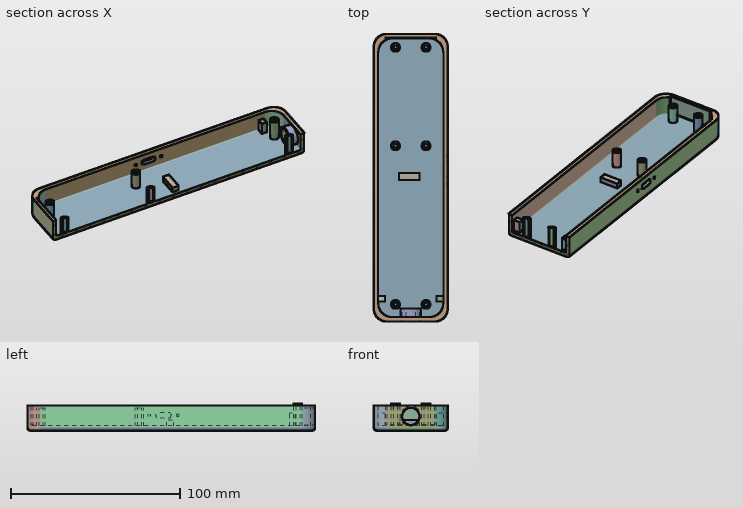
import cadquery as cq

width = 44.0
length = 170.3
rim_height = 15.0
corner_radius = 7.8
bottom_fillet = 2.0

wall = 2.7
floor = 3.0
inner_corner_radius = 8.2
floor_fillet = 0.5
cavity_width = width - 2 * wall
cavity_length = length - 2 * wall

relief_width = 29.6
relief_depth = 0.5
relief_bottom = floor + floor_fillet

post_radius = 2.5
post_hole_radius = 1.2
post_x = 9.0
low_post_top = 13.5
tall_post_top = 16.0
post_rows = [(77.1, low_post_top), (18.9, low_post_top), (-74.9, tall_post_top)]

rib_width = 12.0
rib_length = 4.1
rib_top = 6.3
rib_x = -0.9
rib_y = 0.9

block_reach = 4.1
block_length = 3.2
block_top = 10.5
block_y = -71.5

cable_z = 8.5
cable_hole_radius = 5.1
boss_radius = 6.1
boss_reach = 5.1

switch_y = 4.6
switch_z = 9.2
slot_length = 9.2
slot_height = 3.4
switch_hole_spacing = 17.0
switch_hole_diameter = 1.5


def block(x_size, y_size, bottom, top, x=0.0, y=0.0):
    """Box centred on (x, y) that spans bottom to top in Z."""
    base = cq.Workplane("XY", origin=(x, y, bottom)).rect(x_size, y_size)
    return base.extrude(top - bottom)


def tray():
    """Rounded box with its cavity and the back wall relief."""
    outer = block(width, length, 0, rim_height).edges("|Z").fillet(corner_radius)
    outer = outer.faces("<Z").edges().fillet(bottom_fillet)
    cavity = block(cavity_width, cavity_length, floor, rim_height).edges("|Z").fillet(inner_corner_radius)
    cavity = cavity.faces("<Z").edges().fillet(floor_fillet)
    relief = block(relief_width, 2 * relief_depth, relief_bottom, rim_height, y=cavity_length / 2)
    return outer.cut(cavity).cut(relief)


def post(x, y, top):
    """Hollow post whose screw hole runs down to the floor."""
    profile = cq.Workplane("XY", origin=(x, y, floor)).circle(post_radius).circle(post_hole_radius)
    return profile.extrude(top - floor)


def end_cylinder(radius, reach):
    """Cylinder on the cable axis, from the front outer face inward."""
    start = cq.Workplane("XZ", origin=(0, -length / 2, cable_z))
    return start.circle(radius).extrude(-reach)


def switch_opening():
    """Cutters that cross the +X side wall from its inner face outward."""
    wall_face = cq.Workplane("YZ", origin=(cavity_width / 2, switch_y, switch_z))
    slot = wall_face.slot2D(slot_length, slot_height).extrude(wall)
    hole_places = [(-switch_hole_spacing / 2, 0), (switch_hole_spacing / 2, 0)]
    holes = wall_face.pushPoints(hole_places).circle(switch_hole_diameter / 2).extrude(wall)
    return slot.union(holes)


def side_block(side):
    """Block that reaches in from a side wall and is rooted halfway into it."""
    root = wall / 2
    x = side * (cavity_width / 2 + root / 2 - block_reach / 2)
    return block(block_reach + root, block_length, floor, block_top, x, block_y)


result = tray()

for row_y, row_top in post_rows:
    for side in (-1, 1):
        result = result.union(post(side * post_x, row_y, row_top))

result = result.union(block(rib_width, rib_length, floor, rib_top, rib_x, rib_y))

for side in (-1, 1):
    result = result.union(side_block(side))

result = result.union(end_cylinder(boss_radius, wall + boss_reach))
result = result.cut(end_cylinder(cable_hole_radius, wall + boss_reach))
result = result.cut(switch_opening())